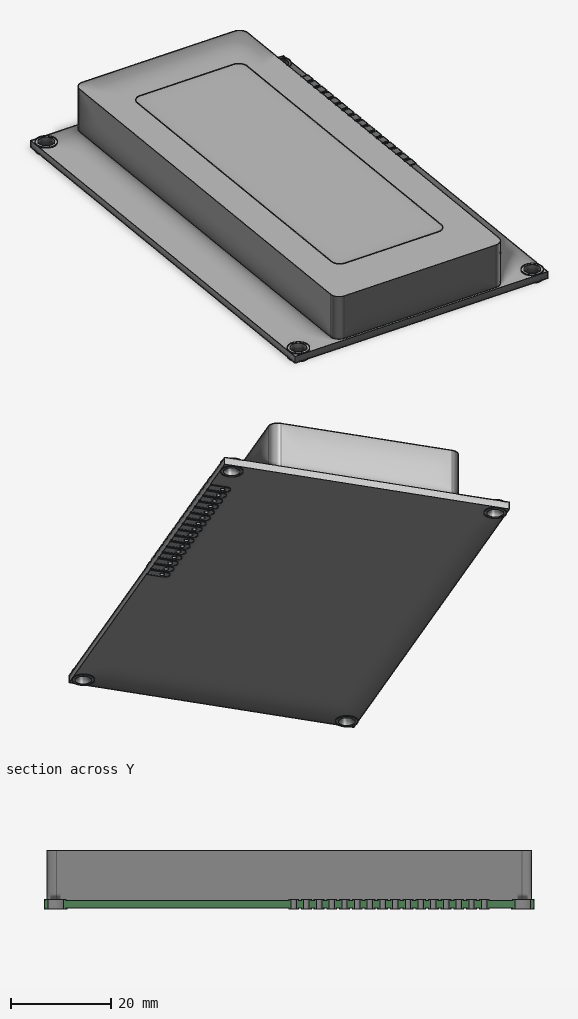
import cadquery as cq

board_length = 97.9
board_width = 60.0
board_thickness = 1.6
pad_height = 0.2
board_bottom = pad_height
board_top = board_bottom + board_thickness
pad_top = board_top + pad_height

mount_hole_diameter = 3.3
mount_pad_diameter = 4.5
mount_inset = mount_pad_diameter / 2

pin_count = 16
pin_row_length = 38.1
pin_pitch = pin_row_length / (pin_count - 1)
first_pin_inset = 10.0
pin_pad_width = 2.0
pin_pad_length = 4.5
pin_hole_diameter = 1.0
pin_hole_inset = 2.9

label_length = 16.8
label_width = 2.1
label_depth = 0.1
label_center_x = 29.4
label_center_y = 25.0

overall_height = 11.7
display_length = 96.9
display_width = 39.9
display_height = overall_height - board_top
display_corner_radius = 2.0
window_length = 75.9
window_width = 26.0
window_depth = 0.1
window_corner_radius = 2.0


def mount_points():
    """Hole centres at the four board corners."""
    x = board_length / 2 - mount_inset
    y = board_width / 2 - mount_inset
    return [(sx * x, sy * y) for sx in (-1, 1) for sy in (-1, 1)]


def pin_positions():
    """X of each connector pad's centre line."""
    first = first_pin_inset - board_length / 2
    return [first + i * pin_pitch for i in range(pin_count)]


def make_cylinders(points, diameter):
    """Upright cylinders as tall as the board with the pads on both faces."""
    return cq.Workplane("XY").pushPoints(points).circle(diameter / 2).extrude(pad_top)


def make_pin_pad(x):
    """A round-ended pad running in from the +Y edge, through both board faces."""
    radius = pin_pad_width / 2
    edge_y = board_width / 2
    round_y = edge_y - pin_pad_length + radius
    return (
        cq.Workplane("XY")
        .moveTo(x - radius, edge_y)
        .lineTo(x - radius, round_y)
        .threePointArc((x, round_y - radius), (x + radius, round_y))
        .lineTo(x + radius, edge_y)
        .close()
        .extrude(pad_top)
    )


def make_circuit_board():
    board = (
        cq.Workplane("XY", origin=(0, 0, board_bottom))
        .box(board_length, board_width, board_thickness, centered=(True, True, False))
    )

    mount_pads = make_cylinders(mount_points(), mount_pad_diameter)
    board = board.union(mount_pads)
    for x in pin_positions():
        board = board.union(make_pin_pad(x))

    mount_holes = make_cylinders(mount_points(), mount_hole_diameter)
    pin_hole_y = board_width / 2 - pin_hole_inset
    pin_points = [(x, pin_hole_y) for x in pin_positions()]
    pin_holes = make_cylinders(pin_points, pin_hole_diameter)
    board = board.cut(mount_holes).cut(pin_holes)

    label = (
        cq.Workplane("XY", origin=(label_center_x, label_center_y, board_top - label_depth))
        .box(label_length, label_width, label_depth, centered=(True, True, False))
    )
    return board.cut(label)


def make_display():
    housing = (
        cq.Workplane("XY", origin=(0, 0, board_top))
        .box(display_length, display_width, display_height, centered=(True, True, False))
        .edges("|Z")
        .fillet(display_corner_radius)
    )
    window = (
        cq.Workplane("XY", origin=(0, 0, overall_height - window_depth))
        .box(window_length, window_width, window_depth, centered=(True, True, False))
        .edges("|Z")
        .fillet(window_corner_radius)
    )
    return housing.cut(window)


circuit_board = make_circuit_board()
display = make_display()

result = cq.Compound.makeCompound([circuit_board.val(), display.val()])